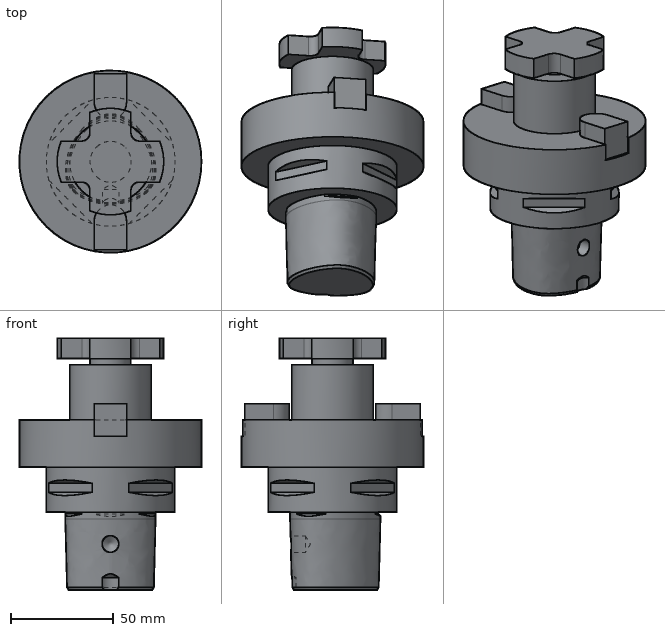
import cadquery as cq
import math

shank_length = 38.0
collar_height = 22.0
flange_height = 23.0
post_height = 27.0
neck_height = 3.0
head_height = 10.0

collar_bottom = shank_length
flange_bottom = collar_bottom + collar_height
flange_top = flange_bottom + flange_height
post_top = flange_top + post_height
neck_top = post_top + neck_height

flange_diameter = 89.0
collar_diameter = 63.0
post_diameter = 40.0
neck_diameter = 20.0

head_diameter = 52.0
head_arm_width = 20.0
head_corner_radius = 4.0

lobe_rise = 1.4
shank_top_radius = 22.1
shank_end_radius = 21.3
tip_radius = 20.4
tip_chamfer_height = 1.5
straight_band_height = 3.1
outline_points = 48

relief_radius = 22.4
relief_straight_height = 0.9
relief_cone_height = 2.0

side_hole_diameter = 8.1
side_hole_height = 22.5
side_hole_depth = 7.4
side_hole_tip_angle = 118

end_notch_diameter = 10.3
end_notch_offset = 3.1
end_notch_depth = 6.0
end_notch_tip_angle = 100

groove_height = 49.9
groove_floor_distance = 27.7
groove_floor_width = 4.3
groove_mouth_width = 7.6

key_width = 15.7
key_height = 16.0
key_rise = 8.0
key_inner_end = 21.0
key_outer_face = 42.9
key_bottom = flange_top + key_rise - key_height


def cylinder(diameter, bottom, height):
    return cq.Workplane("XY").workplane(offset=bottom).circle(diameter / 2).extrude(height)


def lobed_wire(mean_radius, z):
    """Closed constant-width outline with three lobes, starting on the -Y side."""
    points = []
    for i in range(outline_points):
        angle = 2 * math.pi * i / outline_points - math.pi / 2
        lobe_phase = 3 * (angle - math.pi / 2)
        reach = mean_radius + lobe_rise * math.cos(lobe_phase)
        slope = -3 * lobe_rise * math.sin(lobe_phase)
        x = reach * math.cos(angle) - slope * math.sin(angle)
        y = reach * math.sin(angle) + slope * math.cos(angle)
        points.append(cq.Vector(x, y, z))
    return cq.Wire.assembleEdges([cq.Edge.makeSpline(points, periodic=True)])


def lobed_section(bottom_radius, bottom, top_radius, top):
    wires = [lobed_wire(bottom_radius, bottom), lobed_wire(top_radius, top)]
    return cq.Workplane(cq.Solid.makeLoft(wires, True))


def drill(diameter, depth, tip_angle):
    """Drill shape along +Z from the origin, ending in a conical tip."""
    radius = diameter / 2
    tip_height = radius / math.tan(math.radians(tip_angle / 2))
    profile = [(0, 0), (radius, 0), (radius, depth), (0, depth + tip_height)]
    return cq.Workplane("XZ").polyline(profile).close().revolve(360, (0, 0, 0), (0, 1, 0))


def make_shank():
    band_bottom = shank_length - straight_band_height
    shank = lobed_section(tip_radius, 0, shank_end_radius, tip_chamfer_height)
    shank = shank.union(
        lobed_section(shank_end_radius, tip_chamfer_height, shank_top_radius, band_bottom)
    )
    shank = shank.union(
        lobed_section(shank_top_radius, band_bottom, shank_top_radius, shank_length)
    )

    relief_bottom = shank_length - relief_straight_height
    outer_radius = relief_radius + relief_cone_height
    relief_profile = [
        (relief_radius, shank_length),
        (relief_radius, relief_bottom),
        (outer_radius, relief_bottom - relief_cone_height),
        (outer_radius, shank_length),
    ]
    relief = cq.Workplane("XZ").polyline(relief_profile).close()
    shank = shank.cut(relief.revolve(360, (0, 0, 0), (0, 1, 0)))

    flat_side = lobe_rise - shank_top_radius
    side_hole = drill(side_hole_diameter, side_hole_depth, side_hole_tip_angle)
    side_hole = side_hole.rotate((0, 0, 0), (1, 0, 0), -90)
    shank = shank.cut(side_hole.translate((0, flat_side, side_hole_height)))

    end_side = lobe_rise - shank_end_radius
    end_notch = drill(end_notch_diameter, end_notch_depth, end_notch_tip_angle)
    return shank.cut(end_notch.translate((0, end_side - end_notch_offset, 0)))


def make_collar():
    collar = cylinder(collar_diameter, collar_bottom, collar_height)
    mouth_distance = collar_diameter / 2
    groove = (
        cq.Workplane("XZ", origin=(0, mouth_distance, 0))
        .polyline([
            (groove_floor_distance, groove_height - groove_floor_width / 2),
            (mouth_distance, groove_height - groove_mouth_width / 2),
            (mouth_distance, groove_height + groove_mouth_width / 2),
            (groove_floor_distance, groove_height + groove_floor_width / 2),
        ])
        .close()
        .extrude(collar_diameter)
    )
    for angle in (45, 135, 225, 315):
        collar = collar.cut(groove.rotate((0, 0, 0), (0, 0, 1), angle))
    return collar


def make_key():
    """Drive key on the +Y side with a rounded inner end."""
    round_centre = key_inner_end + key_width / 2
    return (
        cq.Workplane("XY", origin=(0, 0, key_bottom))
        .moveTo(-key_width / 2, key_outer_face)
        .lineTo(-key_width / 2, round_centre)
        .threePointArc((0, key_inner_end), (key_width / 2, round_centre))
        .lineTo(key_width / 2, key_outer_face)
        .close()
        .extrude(key_height)
    )


def make_flange():
    flange = cylinder(flange_diameter, flange_bottom, flange_height)
    slot_length = flange_diameter / 2 - key_outer_face
    slot = cq.Workplane("XY").box(key_width, slot_length, key_height, centered=(True, False, False))
    slot = slot.translate((0, key_outer_face, key_bottom))
    for angle in (0, 180):
        flange = flange.cut(slot.rotate((0, 0, 0), (0, 0, 1), angle))
        flange = flange.union(make_key().rotate((0, 0, 0), (0, 0, 1), angle))
    return flange


def make_head():
    arm = cq.Workplane("XY").box(
        head_diameter, head_arm_width, head_height, centered=(True, True, False)
    )
    cross = arm.union(arm.rotate((0, 0, 0), (0, 0, 1), 90))
    inner_corners = cq.selectors.BoxSelector(
        (-head_arm_width, -head_arm_width, 0), (head_arm_width, head_arm_width, head_height)
    )
    cross = cross.edges("|Z").edges(inner_corners).fillet(head_corner_radius)
    return cross.translate((0, 0, neck_top)).intersect(cylinder(head_diameter, neck_top, head_height))


result = (
    make_shank()
    .union(make_collar())
    .union(make_flange())
    .union(cylinder(post_diameter, flange_top, post_height))
    .union(cylinder(neck_diameter, post_top, neck_height))
    .union(make_head())
)